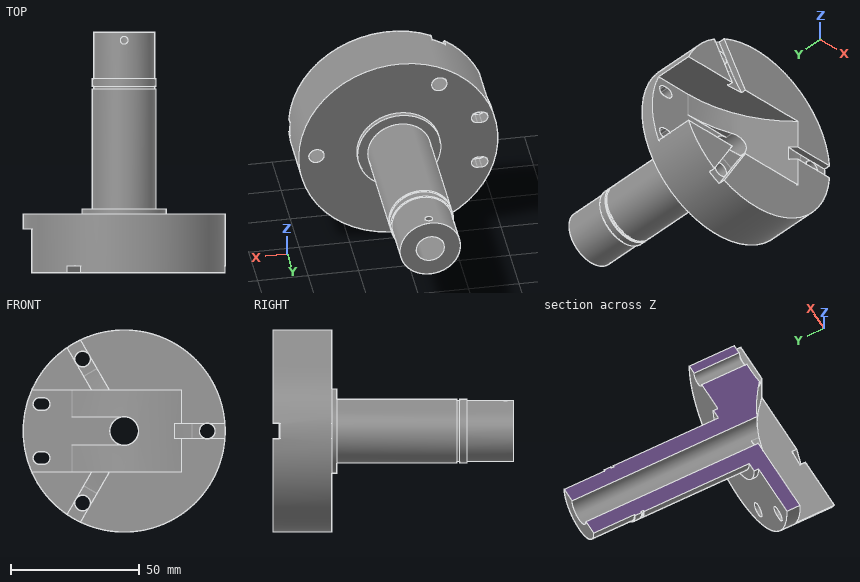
import cadquery as cq
import math

total_length = 94.0
flange_diameter = 79.0
flange_end = 23.0
collar_diameter = 33.0
collar_end = 25.0
shank_diameter = 25.0
groove_diameter = 23.9
groove_start = 71.8
groove_end = 72.85
tail_diameter = 24.0
tail_start = 75.9
bore_diameter = 11.1

pocket_width = 32.0
pocket_depth = 17.1
floor_arc_start = -20.3
pocket_tip = 22.5

slot_count = 3
slot_width = 6.0
slot_depth = 2.8
slot_arc_start = 26.4
slot_arc_radius = 65.8
slot_hole_diameter = 6.0
slot_hole_distance = 32.4

oblong_length = 6.5
oblong_width = 4.8
oblong_x = -32.2
oblong_spacing = 21.1

cross_hole_diameter = 3.0
cross_hole_y = 90.8

outside = flange_diameter / 2 + 0.9


def cylinder(diameter, start, end, x=0.0, z=0.0):
    """Cylinder parallel to Y between two Y positions."""
    circle = cq.Workplane("XZ", origin=(x, start, z)).circle(diameter / 2)
    return circle.extrude(start - end)


def turned_body():
    body = cylinder(flange_diameter, 0, flange_end)
    body = body.union(cylinder(collar_diameter, flange_end, collar_end))
    body = body.union(cylinder(shank_diameter, collar_end, groove_start))
    body = body.union(cylinder(groove_diameter, groove_start, groove_end))
    body = body.union(cylinder(shank_diameter, groove_end, tail_start))
    return body.union(cylinder(tail_diameter, tail_start, total_length))


def pocket():
    run = pocket_tip - floor_arc_start
    radius = (run**2 + pocket_depth**2) / (2 * pocket_depth)
    half_angle = math.asin(run / radius) / 2
    arc_middle = (
        floor_arc_start + radius * math.sin(half_angle),
        pocket_depth - radius * (1 - math.cos(half_angle)),
    )
    return (
        cq.Workplane("XY")
        .moveTo(-outside, 0)
        .lineTo(-outside, pocket_depth)
        .lineTo(floor_arc_start, pocket_depth)
        .threePointArc(arc_middle, (pocket_tip, 0))
        .close()
        .extrude(pocket_width / 2, both=True)
    )


def floor_channel():
    """Continues the flat pocket floor, at bore width, to the bore."""
    length = -floor_arc_start
    return cq.Workplane("XY").box(length, pocket_depth, bore_diameter).translate(
        (floor_arc_start / 2, pocket_depth / 2, 0)
    )


def radial_slot():
    """Slot along +X; its floor rises in an arc towards the axis."""
    runout_angle = math.acos(1 - slot_depth / slot_arc_radius)
    arc_middle = (
        slot_arc_start - slot_arc_radius * math.sin(runout_angle / 2),
        slot_depth - slot_arc_radius * (1 - math.cos(runout_angle / 2)),
    )
    arc_tip = (slot_arc_start - slot_arc_radius * math.sin(runout_angle), 0)
    slot = (
        cq.Workplane("XY")
        .moveTo(outside, 0)
        .lineTo(outside, slot_depth)
        .lineTo(slot_arc_start, slot_depth)
        .threePointArc(arc_middle, arc_tip)
        .close()
        .extrude(slot_width / 2, both=True)
    )
    return slot.union(cylinder(slot_hole_diameter, 0, flange_end, x=slot_hole_distance))


def oblong_holes():
    return (
        cq.Workplane("XZ")
        .pushPoints([(oblong_x, -oblong_spacing / 2), (oblong_x, oblong_spacing / 2)])
        .slot2D(oblong_length, oblong_width)
        .extrude(-flange_end)
    )


def cross_hole():
    """Radial hole from the +Z side of the tail into the bore."""
    plane = cq.Workplane("XY").center(0, cross_hole_y)
    return plane.circle(cross_hole_diameter / 2).extrude(tail_diameter)


result = turned_body().cut(pocket()).cut(floor_channel())
for index in range(slot_count):
    angle = index * 360 / slot_count
    result = result.cut(radial_slot().rotate((0, 0, 0), (0, 1, 0), angle))
result = result.cut(cylinder(bore_diameter, 0, total_length))
result = result.cut(oblong_holes()).cut(cross_hole())